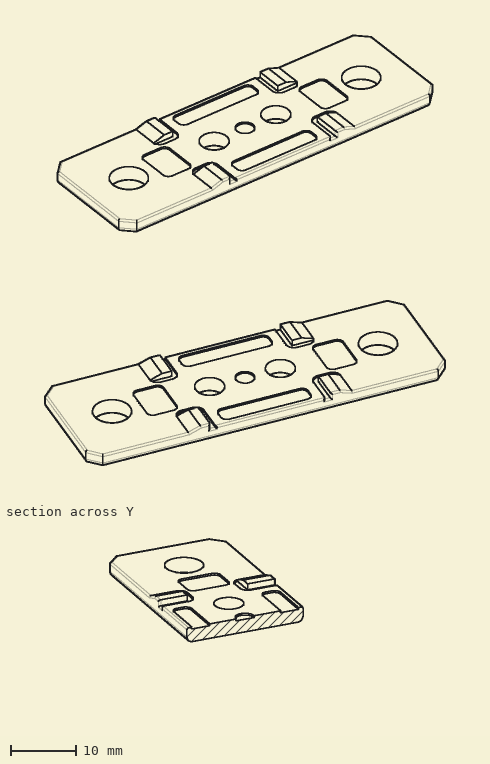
import cadquery as cq

width = 19.7
length = 60.0
plate_top = 2.5
corner_cut = 2.0
top_edge_radius = 0.3
bottom_edge_radius = 1.0

end_hole_diameter = 6.0
end_hole_y = 22.2
inner_hole_diameter = 4.6
inner_hole_y = 5.9
centre_recess_diameter = 3.0

pocket_depth = 0.3
pocket_corner_radius = 1.0
end_pocket_size = (7.0, 5.0)
end_pocket_y = 15.0
side_pocket_size = (3.0, 15.0)
side_pocket_x = 7.5

catch_top = 3.2
catch_inner_x = 5.1
catch_face_y = 10.05
catch_ridge_y = 11.65
catch_foot_y = 13.65
relief_depth = 0.3
relief_inner_x = 4.0
relief_inner_y = 9.15
relief_corner_radius = 1.3

half_width = width / 2
half_length = length / 2
side_signs = (-1, 1)
relief_floor = plate_top - relief_depth
select_margin = 0.01


def mirrored_in_four(solid):
    """Mirror a solid from the +X +Y quarter into all four quarters."""
    pair = solid.union(solid.mirror("YZ"))
    return pair.union(pair.mirror("XZ"))


def make_plate():
    plate = cq.Workplane("XY").box(width, length, plate_top, centered=(True, True, False))
    plate = plate.edges("|Z").chamfer(corner_cut)
    return plate.faces("<Z").edges().fillet(bottom_edge_radius)


def make_relief():
    relief_x = half_width - relief_inner_x
    relief_y = catch_foot_y - relief_inner_y
    relief = (
        cq.Workplane("XY", origin=(relief_inner_x, relief_inner_y, relief_floor))
        .box(relief_x, relief_y, relief_depth, centered=False)
    )
    return relief.edges("|Z and <X").fillet(relief_corner_radius)


def make_catch():
    return (
        cq.Workplane("YZ", origin=(catch_inner_x, 0, 0))
        .moveTo(catch_face_y, relief_floor)
        .lineTo(catch_face_y, catch_top)
        .lineTo(catch_ridge_y, catch_top)
        .lineTo(catch_foot_y, plate_top)
        .lineTo(catch_foot_y, relief_floor)
        .close()
        .extrude(half_width - catch_inner_x)
    )


def round_top_rim(body):
    """Round the upper rim of the outer walls, following the catches and reliefs."""
    lowest = relief_floor - select_margin
    highest = catch_top + select_margin
    outer_x = half_width + select_margin
    outer_y = half_length + select_margin
    wall_x = half_width - select_margin
    end_y = half_length - corner_cut + select_margin
    right_side = cq.selectors.BoxSelector((wall_x, -outer_y, lowest), (outer_x, outer_y, highest))
    left_side = cq.selectors.BoxSelector((-outer_x, -outer_y, lowest), (-wall_x, outer_y, highest))
    back_end = cq.selectors.BoxSelector((-outer_x, end_y, lowest), (outer_x, outer_y, highest))
    front_end = cq.selectors.BoxSelector((-outer_x, -outer_y, lowest), (outer_x, -end_y, highest))
    return body.edges(right_side + left_side + back_end + front_end).fillet(top_edge_radius)


def make_pockets():
    """Shallow recesses in the top face, as one cutter."""
    sketch_plane = cq.Workplane("XY", origin=(0, 0, plate_top - pocket_depth))
    end_pockets = (
        sketch_plane.pushPoints([(0, sign * end_pocket_y) for sign in side_signs])
        .rect(*end_pocket_size)
        .extrude(pocket_depth)
    )
    side_pockets = (
        sketch_plane.pushPoints([(sign * side_pocket_x, 0) for sign in side_signs])
        .rect(*side_pocket_size)
        .extrude(pocket_depth)
    )
    rounded = end_pockets.union(side_pockets).edges("|Z").fillet(pocket_corner_radius)
    return rounded.union(sketch_plane.circle(centre_recess_diameter / 2).extrude(pocket_depth))


def drill_pair(body, diameter, y):
    holes = (
        cq.Workplane("XY").pushPoints([(0, sign * y) for sign in side_signs])
        .circle(diameter / 2).extrude(plate_top)
    )
    return body.cut(holes)


body = make_plate()
body = body.cut(mirrored_in_four(make_relief()))
body = body.union(mirrored_in_four(make_catch()))
body = round_top_rim(body)
body = body.cut(make_pockets())
body = drill_pair(body, end_hole_diameter, end_hole_y)
result = drill_pair(body, inner_hole_diameter, inner_hole_y)